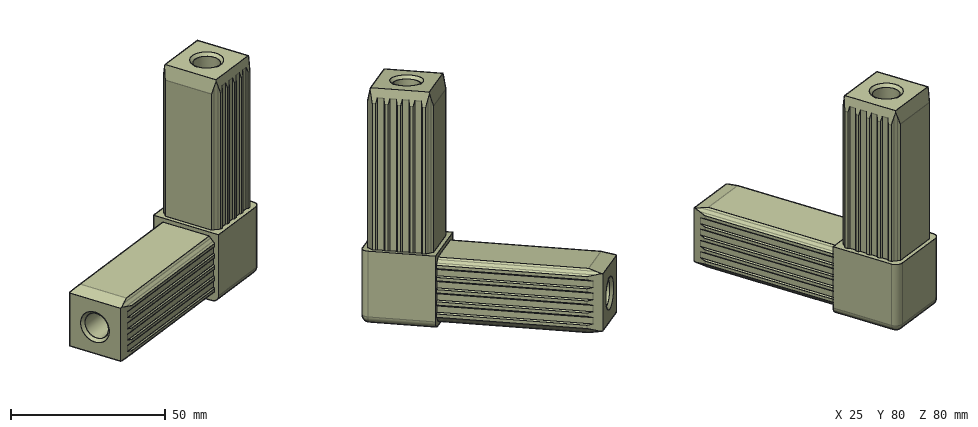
import cadquery as cq


overall_length = 80.0
cube_side = 25.0
cube_radius = 2.5
arm_length = overall_length - cube_side

arm_width = 22.0
tip_width = 19.5
taper_length = 5.0
groove_count = 4
groove_pitch = 4.2
groove_floor_width = 2.2
groove_depth = 0.5
land_width = 1.1
corner_inset = 0.6
facet_inner = 9.4
overlap = 0.8

hole_diameter = 9.0
hole_chamfer = 1.0
hole_depth = arm_length

half_arm = arm_width / 2
groove_floor = half_arm - groove_depth
groove_mouth_width = groove_pitch - land_width
face_end = (groove_count * groove_pitch + land_width) / 2
facet_outer = half_arm - corner_inset
arm_start = cube_side / 2 - overlap
arm_end = cube_side / 2 + arm_length


def make_cube():
    """Cube rounded around its back and bottom faces, sharp where the arms start."""
    cube = cq.Workplane("XY").box(cube_side, cube_side, cube_side)
    return cube.edges("(>Y and |Z) or (<Z and |Y) or (>Y and <Z)").fillet(cube_radius)


def side_points():
    """Section of the grooved +X side, from its lower corner facet to its upper one."""
    points = [(facet_outer, -facet_inner), (half_arm, -face_end)]
    for index in range(groove_count):
        middle = (index - (groove_count - 1) / 2) * groove_pitch
        points += [
            (half_arm, middle - groove_mouth_width / 2),
            (groove_floor, middle - groove_floor_width / 2),
            (groove_floor, middle + groove_floor_width / 2),
            (half_arm, middle + groove_mouth_width / 2),
        ]
    return points + [(half_arm, face_end), (facet_outer, facet_inner)]


def arm_section():
    """Closed outline of the arm: grooved on both X sides, plain on both Y sides."""
    right_side = side_points()
    left_side = [(-x, -y) for x, y in right_side]
    upper_side = [
        (facet_inner, facet_outer),
        (face_end, half_arm),
        (-face_end, half_arm),
        (-facet_inner, facet_outer),
    ]
    lower_side = [(-x, -y) for x, y in upper_side]
    return right_side + upper_side + left_side + lower_side


def tapered_envelope():
    """Square bar that narrows to the tip width over the last stretch of the arm."""
    straight_length = arm_length + overlap - taper_length
    base = cq.Workplane("XY").workplane(offset=arm_start)
    bar = base.rect(arm_width, arm_width).extrude(straight_length)
    tip = (
        cq.Workplane("XY")
        .workplane(offset=arm_end - taper_length)
        .rect(arm_width, arm_width)
        .workplane(offset=taper_length)
        .rect(tip_width, tip_width)
        .loft(ruled=True)
    )
    return bar.union(tip)


def make_arm():
    """Fluted arm standing along +Z, with its end tapered."""
    bar = cq.Workplane("XY").workplane(offset=arm_start).polyline(arm_section()).close()
    return bar.extrude(arm_length + overlap).intersect(tapered_envelope())


def make_hole():
    """Blind hole with a chamfered mouth, going down from the arm's end."""
    bore = cq.Workplane("XY").workplane(offset=arm_end).circle(hole_diameter / 2).extrude(-hole_depth)
    mouth = (
        cq.Workplane("XY")
        .workplane(offset=arm_end)
        .circle(hole_diameter / 2 + hole_chamfer)
        .workplane(offset=-hole_chamfer)
        .circle(hole_diameter / 2)
        .loft()
    )
    return bore.union(mouth)


def turn_to_front(shape):
    """Turn a +Z shape about the X axis so that it points along -Y."""
    return shape.rotate((0, 0, 0), (1, 0, 0), 90)


arm = make_arm().cut(make_hole())
result = make_cube().union(arm).union(turn_to_front(arm))